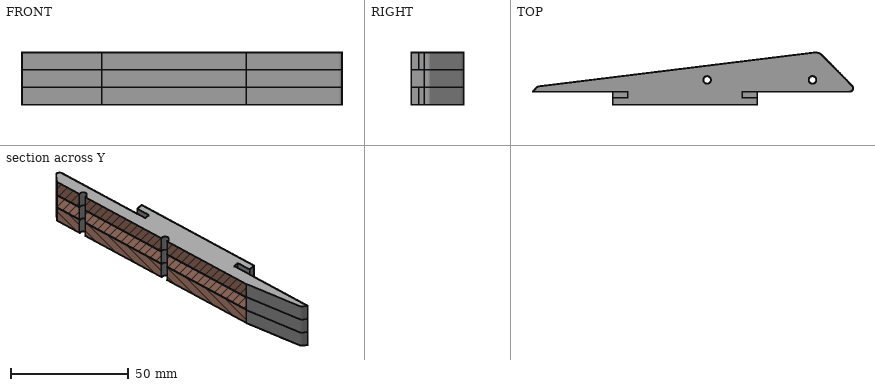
import cadquery as cq
import math

length = 136.9
stack_height = 22.5
layer_count = 3
layer_thickness = stack_height / layer_count

wedge_base_y = 5.6
wedge_peak_y = 22.5
top_slope = 7.0
tail_slope = 45.5
nose_slope = 50.0
nose_radius = 2.0
peak_radius = 4.1
tip_radius = 1.5

foot_start = 34.1
foot_end = 96.0
foot_lip = 3.1
notch_length = 6.5

hole_diameter = 3.1
hole_y = 10.7
hole_positions = [74.5, 119.5]


def tangent(degrees):
    return math.tan(math.radians(degrees))


def make_wedge():
    """Wedge of one layer, with its three blunt corners rounded."""
    tip_corner_x = length - tip_radius + tip_radius * tangent(90 - tail_slope / 2)

    half_turn = (top_slope + tail_slope) / 2
    lean = math.radians((tail_slope - top_slope) / 2)
    centre_to_corner = peak_radius / math.cos(math.radians(half_turn))
    peak_y = wedge_peak_y - peak_radius + centre_to_corner * math.cos(lean)
    peak_x = tip_corner_x - (peak_y - wedge_base_y) / tangent(tail_slope)

    top_edge_rise_at_origin = peak_y - peak_x * tangent(top_slope) - wedge_base_y
    nose_x = top_edge_rise_at_origin / (tangent(nose_slope) - tangent(top_slope))
    nose_y = wedge_base_y + nose_x * tangent(nose_slope)

    wedge = (
        cq.Workplane("XY")
        .moveTo(0, wedge_base_y)
        .lineTo(tip_corner_x, wedge_base_y)
        .lineTo(peak_x, peak_y)
        .lineTo(nose_x, nose_y)
        .close()
        .extrude(layer_thickness)
    )
    corners = [
        (nose_x, nose_y, nose_radius),
        (peak_x, peak_y, peak_radius),
        (tip_corner_x, wedge_base_y, tip_radius),
    ]
    for x, y, radius in corners:
        corner_edge = cq.selectors.NearestToPointSelector((x, y, layer_thickness / 2))
        wedge = wedge.edges("|Z").edges(corner_edge).fillet(radius)
    return wedge


def make_block(start_x, end_x, start_y, end_y):
    """Rectangular block as thick as one layer."""
    size = (end_x - start_x, end_y - start_y, layer_thickness)
    return cq.Workplane("XY").box(*size, centered=False).translate((start_x, start_y, 0))


def make_layer():
    """Wedge and foot in one piece, with the cross holes."""
    layer = make_wedge().union(make_block(foot_start, foot_end, 0, wedge_base_y))
    holes = (
        cq.Workplane("XY")
        .pushPoints([(x, hole_y) for x in hole_positions])
        .circle(hole_diameter / 2)
        .extrude(layer_thickness)
    )
    return layer.cut(holes).clean()


def make_notched_layer():
    """Layer with a notch at each end of the foot, next to the wedge."""
    layer = make_layer()
    for start_x in (foot_start, foot_end - notch_length):
        layer = layer.cut(make_block(start_x, start_x + notch_length, foot_lip, wedge_base_y))
    return layer


middle_layer = make_layer().translate((0, 0, layer_thickness))

outer_layers = []
for level in (0, layer_count - 1):
    outer_layers.append(make_notched_layer().translate((0, 0, level * layer_thickness)).val())

bodies = [solid for body in [middle_layer.val(), *outer_layers] for solid in body.Solids()]
result = cq.Compound.makeCompound(bodies)